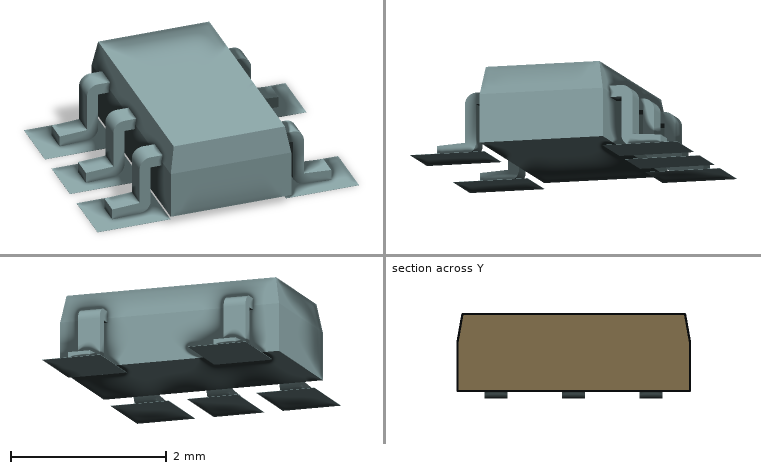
import cadquery as cq
import math

body_length = 3.0
body_width = 1.65
body_bottom = 0.1
parting_height = 0.735
body_top = 1.1
taper_angle = 10.0

lead_width = 0.3
lead_thickness = 0.15
lead_pitch = 1.0
lead_tip = 1.5
lead_outer_face = 1.125
arm_top = 0.825
foot_tilt = math.radians(3.5)
arm_embed = 0.143

overall_width = 3.58
pad_length = 1.0
outer_pad_width = 0.795
middle_pad_width = 0.695
pad_thickness = 0.005

front_stations = [
    (-lead_pitch, outer_pad_width),
    (0, middle_pad_width),
    (lead_pitch, outer_pad_width),
]
back_stations = [
    (-lead_pitch, outer_pad_width),
    (lead_pitch, outer_pad_width),
]


def make_body():
    lower = (
        cq.Workplane("XY")
        .workplane(offset=body_bottom)
        .rect(body_length, body_width)
        .extrude(parting_height - body_bottom)
    )
    upper = (
        cq.Workplane("XY")
        .workplane(offset=parting_height)
        .rect(body_length, body_width)
        .extrude(body_top - parting_height, taper=taper_angle)
    )
    return lower.union(upper)


def make_lead(x):
    """Lead on the +Y side: arm out of the body, upright, foot sloping down to its tip."""
    inner_face = lead_outer_face - lead_thickness
    arm_bottom = arm_top - lead_thickness
    arm_start = body_width / 2 - arm_embed

    tip_top = lead_thickness / math.cos(foot_tilt)
    heel_height = tip_top + (lead_tip - lead_outer_face) * math.tan(foot_tilt)

    def bend_point(centre_y, centre_z, angle):
        return (
            centre_y + lead_thickness * math.cos(angle),
            centre_z + lead_thickness * math.sin(angle),
        )

    heel_end_angle = -math.pi / 2 - foot_tilt
    heel_mid_angle = (heel_end_angle - math.pi) / 2
    return (
        cq.Workplane("YZ")
        .workplane(offset=x - lead_width / 2)
        .moveTo(arm_start, arm_top)
        .lineTo(inner_face, arm_top)
        .threePointArc(
            bend_point(inner_face, arm_bottom, math.pi / 4),
            (lead_outer_face, arm_bottom),
        )
        .lineTo(lead_outer_face, heel_height)
        .lineTo(lead_tip, tip_top)
        .lineTo(lead_tip, 0)
        .lineTo(*bend_point(lead_outer_face, heel_height, heel_end_angle))
        .threePointArc(
            bend_point(lead_outer_face, heel_height, heel_mid_angle),
            (inner_face, heel_height),
        )
        .lineTo(inner_face, arm_bottom)
        .lineTo(arm_start, arm_bottom)
        .close()
        .extrude(lead_width)
    )


def make_pad(x, width):
    """Thin pad under the foot of a lead on the +Y side."""
    centre_y = (overall_width - pad_length) / 2
    return (
        cq.Workplane("XY")
        .center(x, centre_y)
        .rect(width, pad_length)
        .extrude(pad_thickness)
    )


result = make_body()
for x, pad_width in back_stations:
    result = result.union(make_lead(x)).union(make_pad(x, pad_width))
for x, pad_width in front_stations:
    result = result.union(make_lead(x).mirror("XZ")).union(make_pad(x, pad_width).mirror("XZ"))